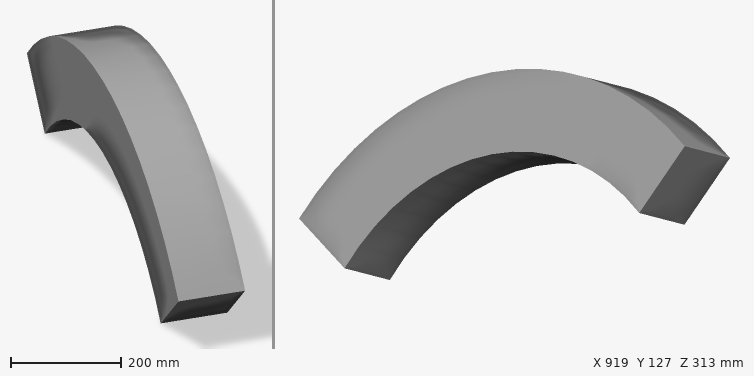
import cadquery as cq

span = 919.0
depth = 127.0
height = 313.0
crown_thickness = 152.5
end_offset = 108.0

outer_half = span / 2
inner_half = outer_half - end_offset
inner_crown = height - crown_thickness

profile = (
    cq.Workplane("XZ")
    .moveTo(-outer_half, end_offset)
    .threePointArc((0, height), (outer_half, end_offset))
    .lineTo(inner_half, 0)
    .threePointArc((0, inner_crown), (-inner_half, 0))
    .close()
)

result = profile.extrude(depth / 2, both=True)